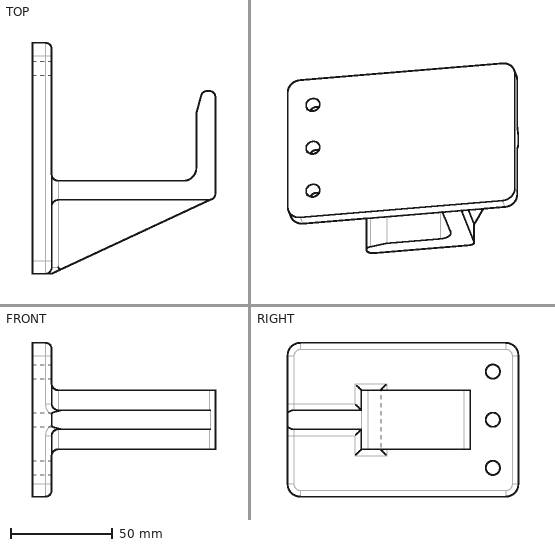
import cadquery as cq
import math

PLATE_LENGTH = 114.3
PLATE_HEIGHT = 76.2
WALL = 9.525
ROUND = 3.175
PLATE_CORNER_RADIUS = 2 * ROUND

HOLE_DIAMETER = 6.9
HOLE_PITCH = 23.8125
HOLE_EDGE_DISTANCE = 12.7
HOLE_COUNT = 3

OVERALL_REACH = 90.55
ARM_WIDTH = 29.37
ARM_HEIGHT_ON_PLATE = 36.51
HOOK_LENGTH = 53.975
HOOK_INNER_RADIUS = 2 * ROUND
TIP_TAPER_LENGTH = 11.1125
TIP_TAPER_ANGLE = 15

RIB_ANGLE = 25

plate_bottom = -PLATE_LENGTH / 2
arm_bottom = plate_bottom + ARM_HEIGHT_ON_PLATE
arm_top = arm_bottom + WALL
hook_top = arm_bottom + HOOK_LENGTH
hook_inner = OVERALL_REACH - WALL
root_end = WALL + ROUND
rib_end = OVERALL_REACH - ROUND / 2
rib_end_y = plate_bottom + (rib_end - WALL) * math.tan(math.radians(RIB_ANGLE))
tolerance = 0.01


def edges_at(x, y):
    """Select the Z-parallel edges passing through (x, y)."""
    return cq.selectors.BoxSelector(
        (x - tolerance, y - tolerance, -PLATE_HEIGHT),
        (x + tolerance, y + tolerance, PLATE_HEIGHT),
    )


def make_plate():
    return (
        cq.Workplane("YZ")
        .rect(PLATE_LENGTH, PLATE_HEIGHT)
        .extrude(WALL)
        .edges("|X")
        .fillet(PLATE_CORNER_RADIUS)
    )


def make_arm():
    taper_start = hook_top - TIP_TAPER_LENGTH
    tip_inner = hook_inner + TIP_TAPER_LENGTH * math.tan(math.radians(TIP_TAPER_ANGLE))
    arm = (
        cq.Workplane("XY")
        .moveTo(0, arm_bottom)
        .lineTo(OVERALL_REACH, arm_bottom)
        .lineTo(OVERALL_REACH, hook_top)
        .lineTo(tip_inner, hook_top)
        .lineTo(hook_inner, taper_start)
        .lineTo(hook_inner, arm_top)
        .lineTo(0, arm_top)
        .close()
        .extrude(ARM_WIDTH / 2, both=True)
    )
    arm = arm.edges(edges_at(hook_inner, arm_top)).fillet(HOOK_INNER_RADIUS)
    for x, y in [(OVERALL_REACH, arm_bottom), (OVERALL_REACH, hook_top), (tip_inner, hook_top)]:
        arm = arm.edges(edges_at(x, y)).fillet(ROUND)
    return arm


def make_rib_block():
    """Square-ended rib rooted inside the plate; its sloped face is trimmed later."""
    depth = arm_bottom + ROUND - plate_bottom
    return (
        cq.Workplane("XY")
        .box(rib_end, depth, WALL, centered=(False, False, True))
        .translate((0, plate_bottom, 0))
    )


def round_roots(body):
    """Fillet where the arm and rib meet the front face of the plate."""
    half_width = ARM_WIDTH / 2 + tolerance
    roots = cq.selectors.BoxSelector(
        (WALL - tolerance, plate_bottom + tolerance, -half_width),
        (WALL + tolerance, arm_top + tolerance, half_width),
    )
    return body.edges(roots).fillet(ROUND)


def round_plate_front(body):
    """Round the plate's front rim; the round follows the root fillets onto the rib."""
    rim = cq.selectors.BoxSelector(
        (WALL - tolerance, -plate_bottom - tolerance, -PLATE_HEIGHT),
        (WALL + tolerance, -plate_bottom + tolerance, PLATE_HEIGHT),
    )
    return body.edges(rim).fillet(ROUND)


def make_sharp_edges():
    """Strip that squares the rib's lower edges again, so the rim round stops at a 45 degree end."""
    return (
        cq.Workplane("XY")
        .moveTo(root_end, plate_bottom + ROUND)
        .lineTo(root_end + ROUND, plate_bottom)
        .lineTo(rib_end, plate_bottom)
        .lineTo(rib_end, plate_bottom + ROUND)
        .close()
        .extrude(WALL / 2, both=True)
    )


def make_slope_cutter():
    """Wedge below the rib's sloped face, which starts at the plate's front -Y edge."""
    return (
        cq.Workplane("XY")
        .moveTo(WALL, plate_bottom)
        .lineTo(rib_end, rib_end_y)
        .lineTo(rib_end, plate_bottom)
        .close()
        .extrude(PLATE_HEIGHT / 2, both=True)
    )


def make_holes():
    y = PLATE_LENGTH / 2 - HOLE_EDGE_DISTANCE
    first_z = -HOLE_PITCH * (HOLE_COUNT - 1) / 2
    points = [(y, first_z + i * HOLE_PITCH) for i in range(HOLE_COUNT)]
    return cq.Workplane("YZ").pushPoints(points).circle(HOLE_DIAMETER / 2).extrude(WALL)


slope_cutter = make_slope_cutter()

result = make_plate().union(make_arm()).union(make_rib_block())
result = round_roots(result)
result = round_plate_front(result)
result = result.cut(slope_cutter)
result = result.union(make_sharp_edges().cut(slope_cutter))
result = result.union(make_arm())
result = result.cut(make_holes())